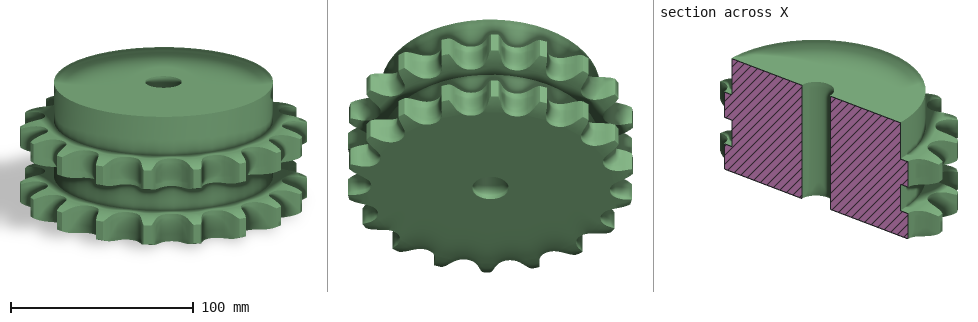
import cadquery as cq
import math


tooth_count = 18
chain_pitch = 25.5
outer_radius = 78.5
plate_thickness = 15.9
plate_spacing = 31.9
plate_count = 2
hub_diameter = 120.0
total_height = 70.0
bore_diameter = 20.0

seat_radius = 8.0
seat_end_angle = 38.3
working_radius = 20.7
working_sweep = 14.9
straight_length = 1.9
topping_radius = 13.2

relief_radius = 26.0
relief_depth = 2.5

tooth_angle = 360.0 / tooth_count
pitch_radius = chain_pitch / (2 * math.sin(math.radians(tooth_angle / 2)))
relief_width = math.sqrt(relief_radius**2 - (relief_radius - relief_depth) ** 2)
relief_start_radius = outer_radius - relief_width


def step(point, distance, degrees):
    """Move from a point by a distance along a direction given in degrees."""
    angle = math.radians(degrees)
    return (point[0] + distance * math.cos(angle), point[1] + distance * math.sin(angle))


def mirror(point):
    """Reflect a point across the centre line of the gap."""
    return (-point[0], point[1])


def topping_point(centre, radius):
    """Point of the topping arc at a given distance from the sprocket axis, on the gap side."""
    distance = math.hypot(*centre)
    cosine = (distance**2 + radius**2 - topping_radius**2) / (2 * distance * radius)
    direction = math.atan2(centre[1], centre[0]) + math.acos(cosine)
    return step((0, 0), radius, math.degrees(direction))


def make_gap_cutter():
    """Prism filling one tooth gap, centred on +Y and open beyond the tooth tips."""
    seat_centre = (0, pitch_radius)
    root = (0, pitch_radius - seat_radius)
    seat_end = step(seat_centre, seat_radius, -seat_end_angle)

    working_centre = step(seat_end, working_radius, 180 - seat_end_angle)
    working_mid = step(working_centre, working_radius, working_sweep / 2 - seat_end_angle)
    normal_angle = working_sweep - seat_end_angle
    working_end = step(working_centre, working_radius, normal_angle)

    straight_end = step(working_end, straight_length, normal_angle + 90)
    topping_centre = step(straight_end, topping_radius, normal_angle)
    topping_mid = topping_point(topping_centre, (math.hypot(*straight_end) + outer_radius) / 2)
    tip = topping_point(topping_centre, outer_radius)
    clearance = (tip[0], outer_radius + seat_radius)

    return (
        cq.Workplane("XY")
        .moveTo(*mirror(seat_end))
        .threePointArc(root, seat_end)
        .threePointArc(working_mid, working_end)
        .lineTo(*straight_end)
        .threePointArc(topping_mid, tip)
        .lineTo(*clearance)
        .lineTo(*mirror(clearance))
        .lineTo(*mirror(tip))
        .threePointArc(mirror(topping_mid), mirror(straight_end))
        .lineTo(*mirror(working_end))
        .threePointArc(mirror(working_mid), mirror(seat_end))
        .close()
        .extrude(plate_thickness)
    )


def make_blank():
    """Turned disc whose rim is relieved by an arc on both faces."""
    half_width = relief_width / 2
    arc_mid_radius = relief_start_radius + half_width
    arc_mid_depth = relief_radius - math.sqrt(relief_radius**2 - half_width**2)
    return (
        cq.Workplane("XZ")
        .lineTo(relief_start_radius, 0)
        .threePointArc((arc_mid_radius, arc_mid_depth), (outer_radius, relief_depth))
        .lineTo(outer_radius, plate_thickness - relief_depth)
        .threePointArc(
            (arc_mid_radius, plate_thickness - arc_mid_depth),
            (relief_start_radius, plate_thickness),
        )
        .lineTo(0, plate_thickness)
        .close()
        .revolve(360, (0, 0, 0), (0, 1, 0))
    )


def make_toothed_plate():
    """Relieved disc with the gaps cut so that a tooth lies on the +X axis."""
    plate = make_blank()
    gap_cutter = make_gap_cutter()
    first_gap_turn = tooth_angle / 2 - 90
    for index in range(tooth_count):
        turn = first_gap_turn + index * tooth_angle
        plate = plate.cut(gap_cutter.rotate((0, 0, 0), (0, 0, 1), turn))
    return plate


sprocket = cq.Workplane("XY").circle(hub_diameter / 2).extrude(total_height)
toothed_plate = make_toothed_plate()
for index in range(plate_count):
    sprocket = sprocket.union(toothed_plate.translate((0, 0, index * plate_spacing)))

bore = cq.Workplane("XY").circle(bore_diameter / 2).extrude(total_height)
result = sprocket.cut(bore)